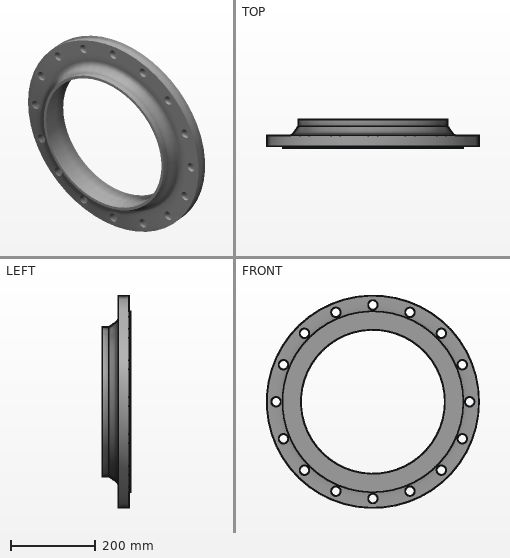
import cadquery as cq
import math

flange_diameter = 505.0
flange_thickness = 26.0
bore_diameter = 341.4

raised_face_diameter = 430.0
raised_face_height = 4.0

total_length = 68.0
neck_diameter = 355.6
neck_straight_length = 16.0
hub_base_diameter = 385.0
hub_fillet_radius = 12.0

bolt_circle_diameter = 460.0
bolt_hole_diameter = 22.0
bolt_hole_count = 16

plate_front = raised_face_height
plate_back = plate_front + flange_thickness
cone_end = total_length - neck_straight_length


def hub_fillet_points():
    """Start, middle and end (radius, y) of the fillet between plate and cone."""
    hub_base_radius = hub_base_diameter / 2
    cone_angle = math.atan2(hub_base_radius - neck_diameter / 2, cone_end - plate_back)
    turn_angle = math.pi / 2 - cone_angle
    tangent_length = hub_fillet_radius * math.tan(turn_angle / 2)
    center_radius = hub_base_radius + tangent_length
    center_y = plate_back + hub_fillet_radius

    def point_after_turn(angle):
        return (
            center_radius - hub_fillet_radius * math.sin(angle),
            center_y - hub_fillet_radius * math.cos(angle),
        )

    return [point_after_turn(angle) for angle in (0, turn_angle / 2, turn_angle)]


def make_body():
    """Revolve the half section (radius along X) about the Y axis."""
    bore_radius = bore_diameter / 2
    raised_face_radius = raised_face_diameter / 2
    flange_radius = flange_diameter / 2
    neck_radius = neck_diameter / 2
    fillet_start, fillet_middle, fillet_end = hub_fillet_points()
    return (
        cq.Workplane("XY")
        .moveTo(bore_radius, 0)
        .lineTo(raised_face_radius, 0)
        .lineTo(raised_face_radius, plate_front)
        .lineTo(flange_radius, plate_front)
        .lineTo(flange_radius, plate_back)
        .lineTo(*fillet_start)
        .threePointArc(fillet_middle, fillet_end)
        .lineTo(neck_radius, cone_end)
        .lineTo(neck_radius, total_length)
        .lineTo(bore_radius, total_length)
        .close()
        .revolve(360, (0, 0, 0), (0, 1, 0))
    )


def make_bolt_holes():
    """Cylinders through the plate, the first one on the +X axis."""
    return (
        cq.Workplane("XZ")
        .polarArray(bolt_circle_diameter / 2, 0, 360, bolt_hole_count)
        .circle(bolt_hole_diameter / 2)
        .extrude(-plate_back)
    )


result = make_body().cut(make_bolt_holes())